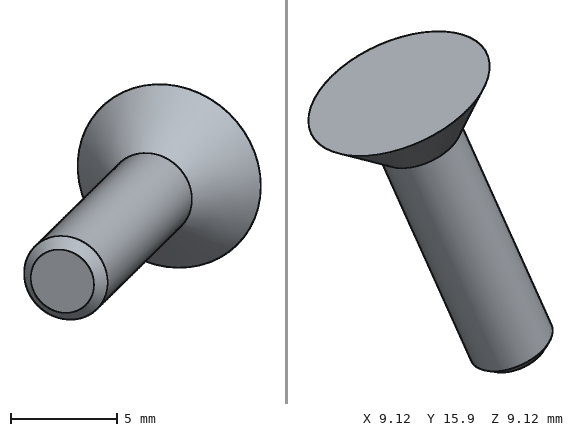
import cadquery as cq
import math

total_length = 15.88
head_diameter = 9.12
shank_diameter = 4.16
head_cone_angle = 82.0
tip_chamfer = 0.51

head_radius = head_diameter / 2
shank_radius = shank_diameter / 2
head_height = (head_radius - shank_radius) / math.tan(math.radians(head_cone_angle / 2))
tip_radius = shank_radius - tip_chamfer

half_profile = (
    cq.Workplane("XY")
    .moveTo(0, 0)
    .lineTo(tip_radius, 0)
    .lineTo(shank_radius, tip_chamfer)
    .lineTo(shank_radius, total_length - head_height)
    .lineTo(head_radius, total_length)
    .lineTo(0, total_length)
    .close()
)

result = half_profile.revolve(360, (0, 0, 0), (0, 1, 0))